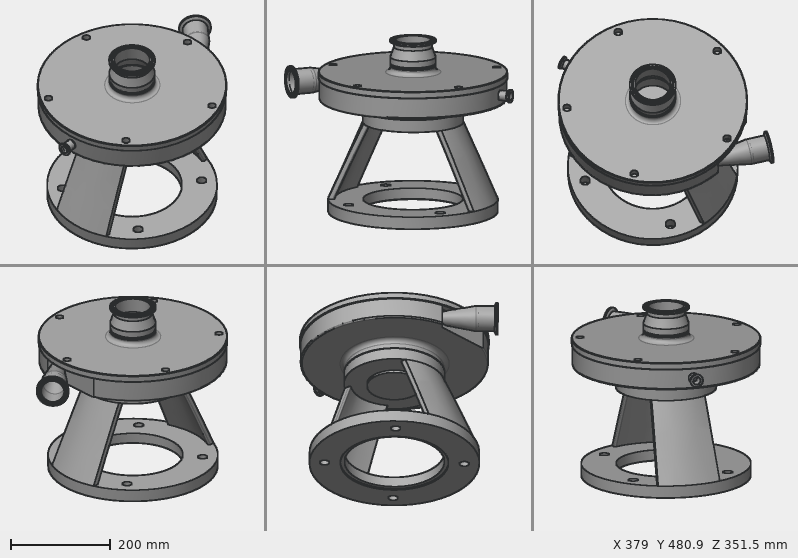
import cadquery as cq
import math

base_radius = 170.5
base_bore_radius = 100.0
base_recess_radius = 108.2
base_recess_depth = 3.5
plate_thickness = 25.0
base_hole_radius = 9.5
base_hole_circle = 140.0
base_hole_count = 4
base_hole_angle = 45

collar_radius = 101.0
collar_bottom = 183.5
collar_top = collar_bottom + plate_thickness
hub_radius = 55.0
hub_drop = 5.5

leg_thickness = 13.0
leg_foot_width = 129.0
leg_top_width = 111.5
leg_edge_fillet = 3.0

neck_radius = 99.0
neck_fillet = 10.0
drum_radius = 188.0
drum_bottom = 230.0
drum_edge_fillet = 3.0
lid_radius = 189.5
lid_bottom = 272.0
lid_top = 286.0
lid_edge_chamfer = 1.5
lid_hole_radius = 7.5
lid_hole_circle = 172.5
lid_hole_count = 5
lid_hole_angle = 90

flat_y = 170.5

inlet_top = 351.5
inlet_radius = 38.5
inlet_bore_radius = 35.5
inlet_flange_radius = 46.0
bell_radius = 45.5
bell_taper_top = 336.7
bell_taper_bottom = 316.5
bell_bottom = 303.5
joint_radius = 43.5
joint_bottom = 300.0
spigot_top = 298.5
spigot_fillet = 9.5
bell_bore_radius = 43.0
bore_taper_top = 323.5
bore_taper_bottom = 303.0

port_z = 253.0
outlet_angle = 45
outlet_offset = 144.5
outlet_face = 204.5
outlet_taper_start = 160.0
outlet_taper_end = 93.0
outlet_radius = 25.5
outlet_bore_radius = 23.0
outlet_flange_radius = 32.0
throat_radius = 13.5
throat_bore_radius = 11.0
outlet_bore_taper_start = 165.0

drain_face = 211.5
drain_root_depth = 5.0
drain_radius = 10.0
drain_bore_radius = 7.5
drain_flange_radius = 13.0

rim_thickness = 3.5
rim_back_taper = 3.5
groove_radius = 1.5


def cylinder(radius, bottom, top):
    return cq.Workplane("XY").workplane(offset=bottom).circle(radius).extrude(top - bottom)


def clamp_flange(tube_radius, flange_radius):
    """Flange about Z with its sealing face at z = 0 and a tapered back."""
    back = -rim_thickness - rim_back_taper
    return (
        cq.Workplane("XZ")
        .moveTo(0, 0)
        .lineTo(flange_radius, 0)
        .lineTo(flange_radius, -rim_thickness)
        .lineTo(tube_radius, back)
        .lineTo(0, back)
        .close()
        .revolve(360, (0, 0, 0), (0, 1, 0))
    )


def gasket_groove(bore_radius, flange_radius):
    """Ring that cuts a half-round groove in a sealing face at z = 0."""
    middle = (bore_radius + flange_radius) / 2
    return (
        cq.Workplane("XZ")
        .center(middle, 0)
        .circle(groove_radius)
        .revolve(360, (-middle, 0, 0), (-middle, 1, 0))
    )


def make_leg(side):
    """Leg cut from a conical shell; side is +1 for +Y and -1 for -Y."""
    shell = (
        cq.Workplane("XZ")
        .moveTo(base_radius, plate_thickness)
        .lineTo(collar_radius, collar_bottom)
        .lineTo(collar_radius - leg_thickness, collar_bottom)
        .lineTo(base_radius - leg_thickness, plate_thickness)
        .close()
        .revolve(360, (0, 0, 0), (0, 1, 0))
    )
    width_limits = (
        cq.Workplane("XZ")
        .moveTo(-leg_foot_width / 2, plate_thickness)
        .lineTo(leg_foot_width / 2, plate_thickness)
        .lineTo(leg_top_width / 2, collar_bottom)
        .lineTo(-leg_top_width / 2, collar_bottom)
        .close()
        .extrude(-side * base_radius)
    )
    leg = shell.intersect(width_limits)
    flank_edges = [
        edge
        for edge in leg.edges().vals()
        if edge.BoundingBox().zlen > collar_bottom / 2 and abs(edge.Center().x) > leg_top_width / 4
    ]
    flank_edges.sort(key=lambda edge: math.hypot(edge.Center().x, edge.Center().y))
    return leg.newObject(flank_edges[:2]).fillet(leg_edge_fillet)


def make_pedestal():
    base = (
        cylinder(base_radius, 0, plate_thickness)
        .cut(cylinder(base_bore_radius, 0, plate_thickness))
        .cut(cylinder(base_recess_radius, 0, base_recess_depth))
        .cut(
            cq.Workplane("XY")
            .polarArray(base_hole_circle, base_hole_angle, 360, base_hole_count)
            .circle(base_hole_radius)
            .extrude(plate_thickness)
        )
    )
    collar = cylinder(collar_radius, collar_bottom, collar_top)
    hub = cylinder(hub_radius, collar_bottom - hub_drop, collar_bottom)
    pedestal = base.union(collar).union(hub)
    for side in (1, -1):
        pedestal = pedestal.union(make_leg(side))
    return pedestal


def make_drum():
    drum = cylinder(drum_radius, drum_bottom, lid_bottom).faces("<Z").edges().fillet(drum_edge_fillet)
    slope_rise = outlet_taper_end * math.sqrt(2)
    flat_cutter = (
        cq.Workplane("XY")
        .workplane(offset=drum_bottom)
        .moveTo(-lid_radius, flat_y)
        .lineTo(flat_y - slope_rise, flat_y)
        .lineTo(lid_radius - slope_rise, lid_radius)
        .lineTo(-lid_radius, lid_radius)
        .close()
        .extrude(lid_bottom - drum_bottom)
    )
    neck = (
        cq.Workplane("XZ")
        .moveTo(0, collar_top)
        .lineTo(neck_radius, collar_top)
        .lineTo(neck_radius, drum_bottom - neck_fillet)
        .radiusArc((neck_radius + neck_fillet, drum_bottom), neck_fillet)
        .lineTo(0, drum_bottom)
        .close()
        .revolve(360, (0, 0, 0), (0, 1, 0))
    )
    return drum.cut(flat_cutter).union(neck)


def make_lid():
    holes = (
        cq.Workplane("XY")
        .workplane(offset=lid_bottom)
        .polarArray(lid_hole_circle, lid_hole_angle, 360, lid_hole_count)
        .circle(lid_hole_radius)
        .extrude(lid_top - lid_bottom)
    )
    return cylinder(lid_radius, lid_bottom, lid_top).edges().chamfer(lid_edge_chamfer).cut(holes)


def make_inlet():
    return (
        cq.Workplane("XZ")
        .moveTo(0, lid_top)
        .lineTo(bell_radius + spigot_fillet, lid_top)
        .radiusArc((bell_radius, lid_top + spigot_fillet), spigot_fillet)
        .lineTo(bell_radius, spigot_top)
        .lineTo(joint_radius, joint_bottom)
        .lineTo(bell_radius, bell_bottom)
        .lineTo(bell_radius, bell_taper_bottom)
        .lineTo(inlet_radius, bell_taper_top)
        .lineTo(inlet_radius, inlet_top)
        .lineTo(0, inlet_top)
        .close()
        .revolve(360, (0, 0, 0), (0, 1, 0))
        .union(clamp_flange(inlet_radius, inlet_flange_radius).translate((0, 0, inlet_top)))
    )


def make_inlet_bore():
    groove = gasket_groove(inlet_bore_radius, inlet_flange_radius).translate((0, 0, inlet_top))
    return (
        cq.Workplane("XZ")
        .moveTo(0, lid_bottom)
        .lineTo(bell_bore_radius, lid_bottom)
        .lineTo(bell_bore_radius, bore_taper_bottom)
        .lineTo(inlet_bore_radius, bore_taper_top)
        .lineTo(inlet_bore_radius, inlet_top)
        .lineTo(0, inlet_top)
        .close()
        .revolve(360, (0, 0, 0), (0, 1, 0))
        .union(groove)
    )


def place_outlet(shape):
    """Turn a shape built along +Z so that it runs along the outlet axis."""
    level = shape.rotate((0, 0, 0), (1, 0, 0), -90).translate((outlet_offset, 0, port_z))
    return level.rotate((0, 0, 0), (0, 0, 1), outlet_angle)


def outlet_duct(tube_radius, end_radius, taper_start):
    """Round tube with a cone down to its inner end, built along +Z."""
    tube = cylinder(tube_radius, taper_start, outlet_face)
    cone = (
        cq.Workplane("XY")
        .workplane(offset=outlet_taper_end)
        .circle(end_radius)
        .workplane(offset=taper_start - outlet_taper_end)
        .circle(tube_radius)
        .loft()
    )
    return tube.union(cone)


def make_outlet():
    flange = clamp_flange(outlet_radius, outlet_flange_radius).translate((0, 0, outlet_face))
    return place_outlet(outlet_duct(outlet_radius, throat_radius, outlet_taper_start).union(flange))


def make_outlet_bore():
    groove = gasket_groove(outlet_bore_radius, outlet_flange_radius).translate((0, 0, outlet_face))
    duct = outlet_duct(outlet_bore_radius, throat_bore_radius, outlet_bore_taper_start)
    return place_outlet(duct.union(groove))


def place_drain(shape):
    """Turn a shape built along +Z so that it runs along -Y at port height."""
    return shape.rotate((0, 0, 0), (1, 0, 0), 90).translate((0, 0, port_z))


def make_drain():
    flange = clamp_flange(drain_radius, drain_flange_radius).translate((0, 0, drain_face))
    return place_drain(cylinder(drain_radius, drum_radius - drain_root_depth, drain_face).union(flange))


def make_drain_bore():
    return place_drain(cylinder(drain_bore_radius, drum_radius, drain_face))


def make_pump():
    pump = make_drum().union(make_lid()).union(make_inlet()).union(make_outlet()).union(make_drain())
    return pump.cut(make_inlet_bore()).cut(make_outlet_bore()).cut(make_drain_bore())


pedestal = make_pedestal()
pump = make_pump()
result = cq.Compound.makeCompound([pedestal.val(), pump.val()])